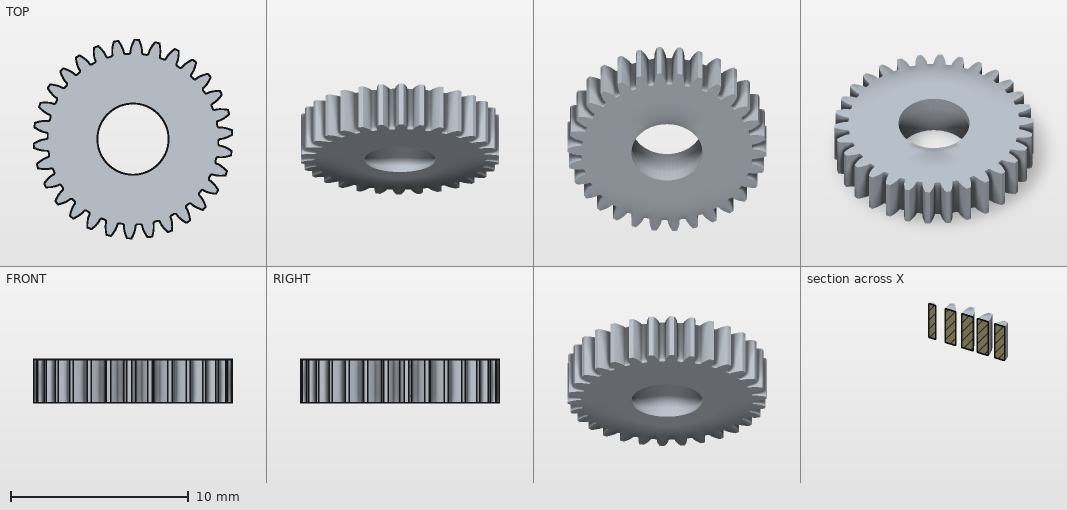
import cadquery as cq
import math

tooth_count = 30
outer_diameter = 11.2
pressure_angle = math.radians(20)
face_width = 2.45
bore_diameter = 4.0
root_fillet = 0.1
first_tooth_angle = math.radians(3.85)

addendum_factor = 1.0
dedendum_factor = 1.25
module_size = outer_diameter / (tooth_count + 2 * addendum_factor)

pitch_radius = module_size * tooth_count / 2
tip_radius = pitch_radius + addendum_factor * module_size
root_radius = pitch_radius - dedendum_factor * module_size
base_radius = pitch_radius * math.cos(pressure_angle)
tooth_pitch = 2 * math.pi / tooth_count
flank_steps = 6


def involute(angle):
    return math.tan(angle) - angle


def half_tooth_angle(radius):
    """Half the angle a tooth spans at a radius on its involute flank."""
    local_pressure_angle = math.acos(base_radius / radius)
    return tooth_pitch / 4 + involute(pressure_angle) - involute(local_pressure_angle)


def polar(radius, angle):
    return (radius * math.cos(angle), radius * math.sin(angle))


def flank(center_angle, side):
    """Points from base circle to tip; side is -1 or +1 about the tooth centre."""
    radii = [base_radius + (tip_radius - base_radius) * i / flank_steps for i in range(flank_steps + 1)]
    return [polar(r, center_angle + side * half_tooth_angle(r)) for r in radii]


def add_tooth(outline, center_angle):
    """Extend the outline over one tooth and along the root to the next tooth."""
    foot_angle = half_tooth_angle(base_radius)
    rising = flank(center_angle, -1)
    falling = flank(center_angle, 1)[::-1]
    outline = outline.lineTo(*rising[0]).spline(rising[1:], includeCurrent=True)
    outline = outline.threePointArc(polar(tip_radius, center_angle), falling[0])
    outline = outline.spline(falling[1:], includeCurrent=True)
    outline = outline.lineTo(*polar(root_radius, center_angle + foot_angle))
    return outline.threePointArc(
        polar(root_radius, center_angle + tooth_pitch / 2),
        polar(root_radius, center_angle + tooth_pitch - foot_angle),
    )


def gear_body():
    start_angle = first_tooth_angle - half_tooth_angle(base_radius)
    outline = cq.Workplane("XY").moveTo(*polar(root_radius, start_angle))
    for tooth in range(tooth_count):
        outline = add_tooth(outline, first_tooth_angle + tooth * tooth_pitch)
    return outline.close().extrude(face_width)


def is_root_corner(edge):
    center = edge.Center()
    midway_to_base = (root_radius + base_radius) / 2
    return math.hypot(center.x, center.y) < midway_to_base


gear = gear_body()
root_corners = gear.edges("|Z").filter(is_root_corner)
gear = root_corners.fillet(root_fillet)

result = gear.faces(">Z").workplane(origin=(0, 0, face_width)).hole(bore_diameter)